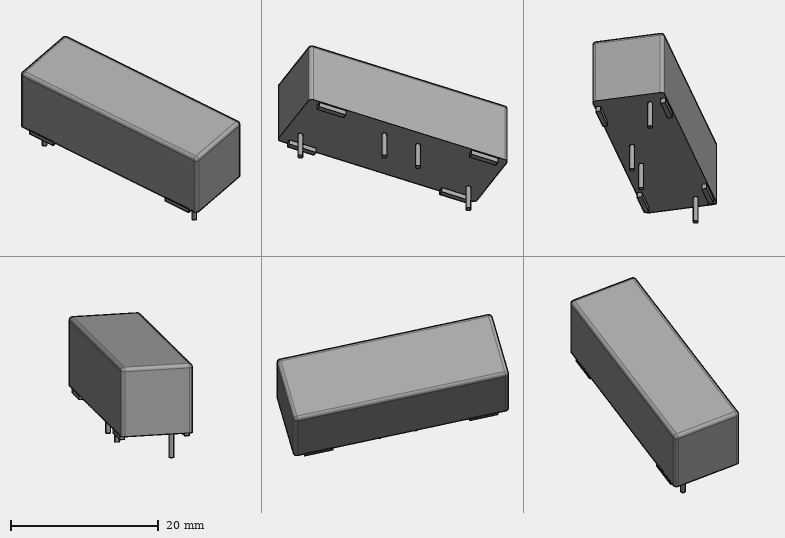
import cadquery as cq

length = 30.0
width = 10.0
height = 9.6
edge_radius = 0.5

foot_length = 4.0
foot_width = 0.65
foot_height = 0.75
foot_end_inset = 1.5
foot_side_inset = 0.15
foot_x = length / 2 - foot_end_inset - foot_length / 2
foot_y = width / 2 - foot_side_inset - foot_width / 2

pin_diameter = 0.65
pin_length = 3.8
inner_pin_spacing = 5.07
outer_pin_spacing = 25.4
row_spacing = inner_pin_spacing


def make_housing():
    """Block with rounded upright and top edges and a flat underside."""
    block = cq.Workplane("XY").box(length, width, height, centered=(True, True, False))
    return block.edges("|Z or >Z").fillet(edge_radius)


def make_foot(x, y):
    """Rectangular standoff against the underside of the housing."""
    return cq.Workplane("XY").center(x, y).rect(foot_length, foot_width).extrude(-foot_height)


def make_pin(x, y):
    """Round pin hanging from the underside of the housing."""
    return cq.Workplane("XY").center(x, y).circle(pin_diameter / 2).extrude(-pin_length)


housing = make_housing()

feet = []
pins = []
for x_side in (-1, 1):
    for y_side in (-1, 1):
        feet.append(make_foot(x_side * foot_x, y_side * foot_y).val())
    pins.append(make_pin(x_side * outer_pin_spacing / 2, -row_spacing / 2).val())
    pins.append(make_pin(x_side * inner_pin_spacing / 2, row_spacing / 2).val())

result = cq.Compound.makeCompound([*housing.solids().vals(), *feet, *pins])